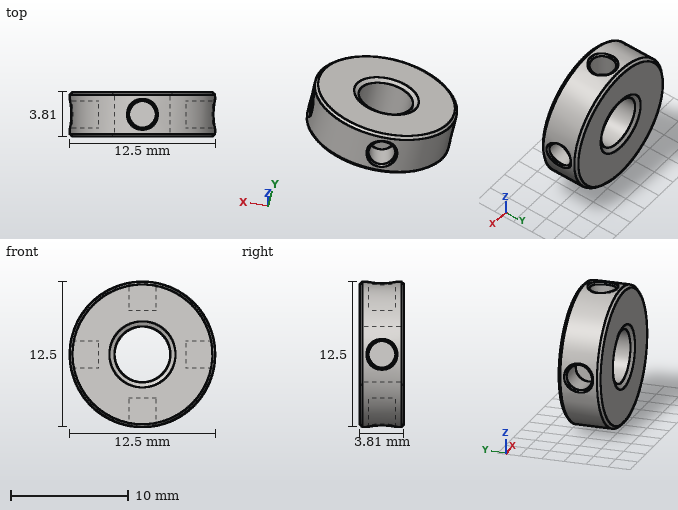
import cadquery as cq
import math

outer_diameter = 12.45
width = 3.81
rim_chamfer = 0.25
bore_diameter = 4.75
bore_mouth_diameter = 5.65
bore_mouth_angle = 120.0
bore_mouth_radius = bore_mouth_diameter / 2
bore_mouth_depth = (
    (bore_mouth_diameter - bore_diameter) / 2 / math.tan(math.radians(bore_mouth_angle / 2))
)

hole_count = 4
hole_diameter = 2.29
hole_depth = 2.49
hole_chamfer = 0.17

outer_radius = outer_diameter / 2
bore_radius = bore_diameter / 2
hole_radius = hole_diameter / 2
hole_spacing = 360 / hole_count


def make_ring():
    """Ring with a chamfered rim and a countersunk bore, centred on the origin."""
    half_width = width / 2
    profile = [
        (bore_radius, -half_width + bore_mouth_depth),
        (bore_mouth_radius, -half_width),
        (outer_radius - rim_chamfer, -half_width),
        (outer_radius, -half_width + rim_chamfer),
        (outer_radius, half_width - rim_chamfer),
        (outer_radius - rim_chamfer, half_width),
        (bore_mouth_radius, half_width),
        (bore_radius, half_width - bore_mouth_depth),
    ]
    ring = cq.Workplane("XY").polyline(profile).close().revolve(360, (0, 0, 0), (0, 1, 0))
    return ring.rotate((0, 0, 0), (0, 1, 0), hole_spacing / 2)


def cut_radial_holes(ring):
    """Cut the flat-bottomed holes inward from the rim and chamfer their mouths."""
    hole = (
        cq.Workplane("XY")
        .workplane(offset=outer_radius - hole_depth)
        .circle(hole_radius)
        .extrude(2 * hole_depth)
    )
    for index in range(hole_count):
        ring = ring.cut(hole.rotate((0, 0, 0), (0, 1, 0), index * hole_spacing))

    return ring.edges("not(%CIRCLE or %LINE)").chamfer(hole_chamfer)


result = cut_radial_holes(make_ring())